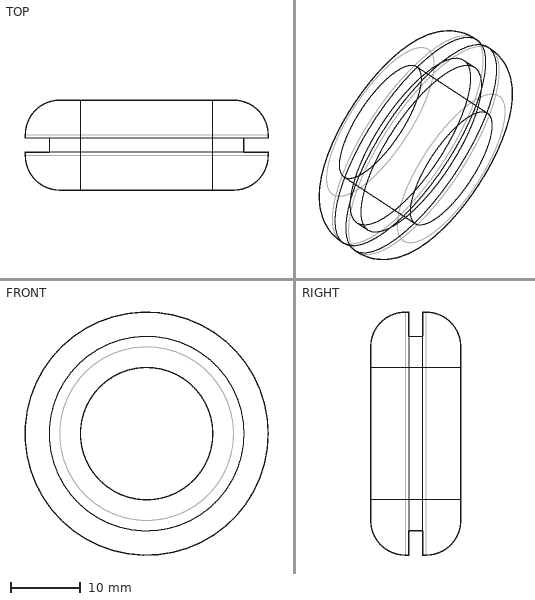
import cadquery as cq

outer_diameter = 35.0
bore_diameter = 19.0
groove_diameter = 28.0
width = 13.0
groove_width = 2.0
rim_radius = 5.0


def ring(outside_diameter, inside_diameter, length):
    """Plain ring along Y, centred on the origin."""
    return (
        cq.Workplane("XZ", origin=(0, length / 2, 0))
        .circle(outside_diameter / 2)
        .circle(inside_diameter / 2)
        .extrude(length)
    )


outer_rims = cq.selectors.RadiusNthSelector(-1)
body = ring(outer_diameter, bore_diameter, width).edges(outer_rims).fillet(rim_radius)

groove = ring(outer_diameter, groove_diameter, groove_width)

result = body.cut(groove)